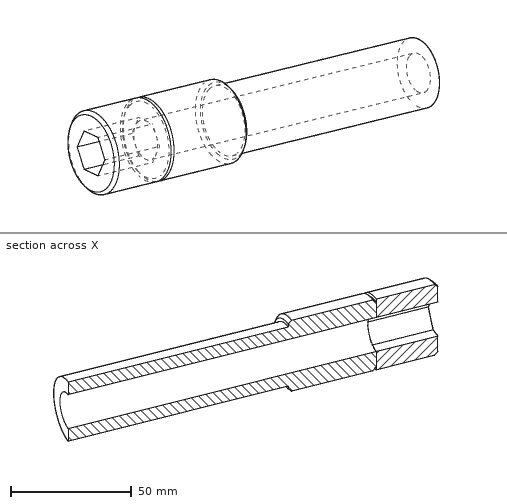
import cadquery as cq
import math

total_length = 168.0
head_diameter = 36.0
shank_diameter = 30.0
front_y = -total_length / 2

socket_length = 28.0
collar_length = 40.0
shank_length = total_length - socket_length - collar_length

edge_chamfer = 1.5
hex_across_flats = 17.0
hex_across_corners = hex_across_flats / math.cos(math.pi / 6)
bore_diameter = hex_across_flats


def section_plane(y):
    """Plane across the axis at y, extruding toward +Y."""
    return cq.Workplane(cq.Plane(origin=(0, y, 0), xDir=(1, 0, 0), normal=(0, 1, 0)))


def cylinder(y, diameter, length):
    return section_plane(y).circle(diameter / 2).extrude(length)


def make_socket():
    """Front ring with a hexagonal through opening and a chamfered front edge."""
    ring = cylinder(front_y, head_diameter, socket_length)
    ring = ring.faces("<Y").chamfer(edge_chamfer)
    hex_opening = section_plane(front_y).polygon(6, hex_across_corners).extrude(socket_length)
    return ring.cut(hex_opening)


def make_shaft():
    """Hollow shank with a larger collar chamfered at both ends."""
    collar_y = front_y + socket_length
    shank_y = collar_y + collar_length
    collar = cylinder(collar_y, head_diameter, collar_length)
    collar = collar.faces("<Y or >Y").chamfer(edge_chamfer)
    shank = cylinder(shank_y, shank_diameter, shank_length)
    bore = cylinder(collar_y, bore_diameter, collar_length + shank_length)
    return collar.union(shank).cut(bore)


socket = make_socket()
shaft = make_shaft()

result = cq.Compound.makeCompound([socket.val(), shaft.val()])